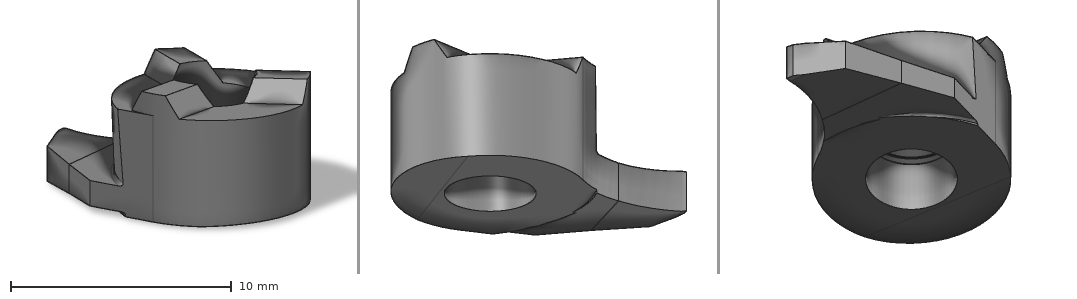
import cadquery as cq
import math

head_width = 9.0
head_radius = head_width / 2
bore_radius = 2.08
head_height = 5.0
tooth_height = 1.03
tooth_top_width = 1.32
tooth_base_width = 2.65
tooth_count = 3
first_tooth_angle = 30.0

groove_top = 3.15
groove_corner = 2.85
groove_bottom = 2.69
groove_depth = 0.14

relief_start = 2.25
relief_rise = 0.11

concave_radius = 5.13
concave_center_x = -7.57
overall_length = 13.5
tip_end_x = head_radius - overall_length
tip_face_y = 0.68
tip_corner = (-8.06, -1.53)
arm_corner_x = -3.51

arm_top = 1.67
arm_bottom = -0.05
arm_top_slope = 0.063
arm_bottom_slope = -0.055
tip_split_x = -5.72
tip_flare = 0.022

tip_bevel_length = 0.22
tip_bevel_drop = 0.04

wall_radius = 6.48
wall_center = (1.95, 0.68)
wall_fillet = 0.16
fillet_overlap = 0.07

reach = 27.0


def half_space(origin, slope_x, slope_y, above):
    """Block above or below a plane through origin with the given slopes."""
    normal = cq.Vector(-slope_x, -slope_y, 1)
    if not above:
        normal = normal * -1
    plane = cq.Plane(origin=origin, xDir=(1, 0, slope_x), normal=normal.toTuple())
    return cq.Workplane(plane).rect(2 * reach, 2 * reach).extrude(reach)


def x_side(start, direction):
    """Block on the +X (direction 1) or -X (direction -1) side of x = start."""
    block = cq.Workplane("XY").box(reach, reach, reach)
    return block.translate((start + direction * reach / 2, 0, 0))


def head_point(angle):
    """Point on the head's outer circle."""
    return (head_radius * math.cos(angle), head_radius * math.sin(angle))


def outline_prism():
    """Plan outline of head and arm together, as a tall prism."""
    center_distance = head_radius + concave_radius
    concave_center_y = math.sqrt(center_distance**2 - concave_center_x**2)
    tangent_angle = math.atan2(concave_center_y, concave_center_x)
    tip_angle = -math.acos((tip_end_x - concave_center_x) / concave_radius)
    middle_angle = (tip_angle + tangent_angle - math.pi) / 2

    def concave_point(angle):
        return (
            concave_center_x + concave_radius * math.cos(angle),
            concave_center_y + concave_radius * math.sin(angle),
        )

    return (
        cq.Workplane("XY", origin=(0, 0, -reach / 2))
        .moveTo(tip_end_x, tip_face_y)
        .lineTo(*tip_corner)
        .lineTo(arm_corner_x, -head_radius)
        .lineTo(0, -head_radius)
        .threePointArc(head_point(math.pi / 4), head_point(tangent_angle))
        .threePointArc(concave_point(middle_angle), concave_point(tip_angle))
        .close()
        .extrude(reach)
    )


def wall_axis_y(z):
    """Y position of the wall's tilted axis at height z."""
    return wall_center[1] + arm_top_slope * (head_height - z)


def wall_cylinder():
    plane = cq.Plane(
        origin=(wall_center[0], wall_center[1], head_height),
        xDir=(1, 0, 0),
        normal=(0, -arm_top_slope, 1),
    )
    return cq.Workplane(plane).circle(wall_radius).extrude(reach / 2, both=True)


def fillet_ring(axis_z, slope, direction):
    """Ring filling the corner between the wall and the arm's top (1) or bottom (-1) face.

    The wall's axis meets that face at height axis_z.
    """
    plane = cq.Plane(
        origin=(wall_center[0], wall_axis_y(axis_z), axis_z),
        xDir=(1, 0, 0),
        normal=(0, -slope * direction, direction),
    )
    ring = (
        cq.Workplane(plane)
        .workplane(offset=-fillet_overlap)
        .circle(wall_radius + wall_fillet)
        .circle(wall_radius - fillet_overlap)
        .extrude(fillet_overlap + wall_fillet)
    )
    tube_center = plane.origin + plane.zDir * wall_fillet
    tube = cq.Solid.makeTorus(wall_radius + wall_fillet, wall_fillet, tube_center, plane.zDir)
    return ring.cut(cq.Workplane(tube))


def axis_height_at(face_height, slope):
    """Height where the wall's axis crosses an arm face."""
    return (face_height + slope * wall_axis_y(0)) / (1 + slope * arm_top_slope)


def top_fillet():
    return fillet_ring(axis_height_at(arm_top, arm_top_slope), arm_top_slope, 1)


def bottom_fillet():
    """Fillet under the arm, only where the arm's bottom face is above z = 0."""
    ring = fillet_ring(axis_height_at(arm_bottom, arm_bottom_slope), arm_bottom_slope, -1)
    return ring.intersect(cq.Workplane("XY").rect(2 * reach, 2 * reach).extrude(head_height))


def tooth(angle):
    """Trapezoidal tooth running outward from the axis.

    On the -Y side it ends on the head's outer circle, elsewhere on the head's own outline.
    """
    bar = (
        cq.Workplane("YZ")
        .polyline([
            (-tooth_base_width / 2, head_height),
            (tooth_base_width / 2, head_height),
            (tooth_top_width / 2, head_height + tooth_height),
            (-tooth_top_width / 2, head_height + tooth_height),
        ])
        .close()
        .extrude(2 * head_radius)
        .rotate((0, 0, 0), (0, 0, 1), angle)
    )
    tooth_top = head_height + tooth_height
    round_limit = cq.Workplane("XY").circle(head_radius).extrude(tooth_top)
    rear_limit = cq.Workplane("XY").rect(reach, reach).extrude(tooth_top).translate((0, reach / 2, 0))
    return bar.intersect(round_limit.union(rear_limit))


def bore():
    hole = cq.Workplane("XY", origin=(0, 0, -reach / 2)).circle(bore_radius).extrude(reach)
    groove_radius = bore_radius + groove_depth
    groove = (
        cq.Workplane("XZ")
        .polyline([
            (0, groove_bottom),
            (bore_radius, groove_bottom),
            (groove_radius, groove_corner),
            (groove_radius, groove_top),
            (0, groove_top),
        ])
        .close()
        .revolve(360, (0, 0, 0), (0, 1, 0))
    )
    return hole.union(groove)


def make_head():
    """Toothed head with the inner part of the arm."""
    blank = cq.Workplane("XY").rect(2 * reach, 2 * reach).extrude(head_height)
    for index in range(tooth_count):
        blank = blank.union(tooth(first_tooth_angle + index * 360 / tooth_count))
    wall = wall_cylinder()
    head = outline_prism().intersect(wall).intersect(blank)

    arm = (
        outline_prism()
        .cut(half_space((0, 0, arm_top), 0, arm_top_slope, True))
        .cut(half_space((0, 0, arm_bottom), 0, arm_bottom_slope, False))
        .cut(wall)
        .intersect(x_side(tip_split_x, 1))
    )
    fillets = top_fillet().union(bottom_fillet()).intersect(outline_prism())
    body = head.union(arm).union(fillets)

    relief = half_space((relief_start, 0, 0), relief_rise / (head_radius - relief_start), 0, False)
    relief = relief.intersect(x_side(relief_start, 1))
    return body.cut(bore()).cut(relief)


def make_tip():
    """Outer part of the arm, thickening slightly toward its end."""
    bevel_x = tip_end_x + tip_bevel_length
    bevel_slope = tip_bevel_drop / tip_bevel_length
    flare = tip_flare * (tip_split_x - bevel_x)
    top_at_bevel = arm_top + flare
    bottom_at_bevel = arm_bottom - flare
    return (
        outline_prism()
        .intersect(x_side(tip_split_x, -1))
        .cut(half_space((tip_split_x, 0, arm_top), -tip_flare, arm_top_slope, True))
        .cut(half_space((tip_split_x, 0, arm_bottom), tip_flare, arm_bottom_slope, False))
        .cut(half_space((bevel_x, 0, top_at_bevel), bevel_slope, arm_top_slope, True))
        .cut(half_space((bevel_x, 0, bottom_at_bevel), -bevel_slope, arm_bottom_slope, False))
    )


head = make_head()
tip = make_tip()
result = cq.Compound.makeCompound([head.val(), tip.val()])